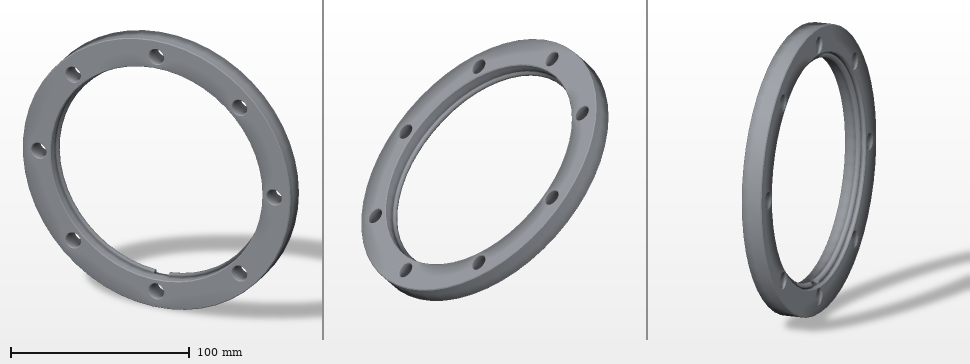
import cadquery as cq
import math

OUTER_RADIUS = 82.5
THICKNESS = 12.0
BORE_RADIUS = 65.2
EDGE_CHAMFER = 0.5

HOLE_COUNT = 8
HOLE_DIAMETER = 9.0
BOLT_CIRCLE_RADIUS = 72.5
HOLE_CHAMFER = 0.41

LIP_LENGTH = 6.6
COUNTERBORE_RADIUS = 66.8

WIRE_DIAMETER = 3.3
WIRE_GAP = 9.0

FRONT_Y = -THICKNESS / 2
WIRE_RADIUS = WIRE_DIAMETER / 2
WIRE_PATH_RADIUS = COUNTERBORE_RADIUS - WIRE_RADIUS
WIRE_CENTER_Y = FRONT_Y + LIP_LENGTH + WIRE_RADIUS


def make_plain_ring():
    """Flat ring with a lip and counterbore, all four rim edges chamfered."""
    ring = (
        cq.Workplane("XZ", origin=(0, -FRONT_Y, 0))
        .circle(OUTER_RADIUS)
        .circle(BORE_RADIUS)
        .extrude(THICKNESS)
    )
    counterbore = (
        cq.Workplane("XZ", origin=(0, -FRONT_Y, 0))
        .circle(COUNTERBORE_RADIUS)
        .extrude(THICKNESS - LIP_LENGTH)
    )
    return ring.cut(counterbore).faces("<Y or >Y").edges().chamfer(EDGE_CHAMFER)


def make_bolt_hole_cutter():
    """Hole profile with a chamfer at both faces, revolved about its own axis."""
    radius = HOLE_DIAMETER / 2
    mouth_radius = radius + HOLE_CHAMFER
    half = THICKNESS / 2
    profile = cq.Workplane("XY").polyline([
        (0, -half),
        (mouth_radius, -half),
        (radius, -half + HOLE_CHAMFER),
        (radius, half - HOLE_CHAMFER),
        (mouth_radius, half),
        (0, half),
    ]).close()
    return profile.revolve(360, (0, 0, 0), (0, 1, 0))


def make_flange():
    """Chamfered ring with a circle of bolt holes."""
    flange = make_plain_ring()
    cutter = make_bolt_hole_cutter()
    for index in range(HOLE_COUNT):
        angle = 2 * math.pi * index / HOLE_COUNT
        hole_x = BOLT_CIRCLE_RADIUS * math.cos(angle)
        hole_z = BOLT_CIRCLE_RADIUS * math.sin(angle)
        flange = flange.cut(cutter.translate((hole_x, 0, hole_z)))
    return flange


def make_snap_ring():
    """Open ring of round wire with its gap centred at the bottom."""
    half_gap_angle = math.degrees(math.asin(WIRE_GAP / 2 / WIRE_PATH_RADIUS))
    wire = (
        cq.Workplane("YZ")
        .center(WIRE_CENTER_Y, -WIRE_PATH_RADIUS)
        .circle(WIRE_RADIUS)
        .revolve(
            360 - 2 * half_gap_angle,
            (0, WIRE_PATH_RADIUS, 0),
            (1, WIRE_PATH_RADIUS, 0),
        )
    )
    return wire.rotate((0, 0, 0), (0, 1, 0), half_gap_angle)


flange = make_flange()
snap_ring = make_snap_ring()

result = cq.Compound.makeCompound([flange.val(), snap_ring.val()])